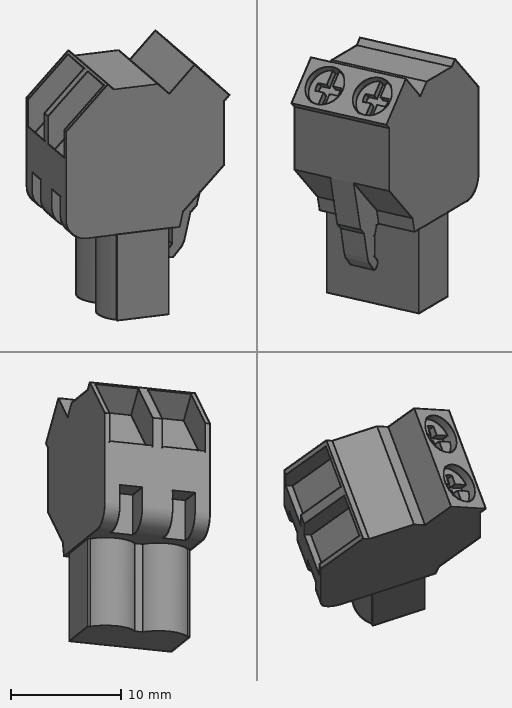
import cadquery as cq
import math


pole_pitch = 5.08
pole_count = 2
housing_width = pole_count * pole_pitch
pole_centres = [(i - (pole_count - 1) / 2) * pole_pitch for i in range(pole_count)]
total_depth = 15.88
total_height = 23.77
SIN45 = math.sqrt(0.5)

housing_bottom = 8.33
front_corner_radius = 2.0
front_slope_bottom = 18.81
front_slope_run = 4.07
front_lip_drop = 0.57
roof_back = 8.95
valley_drop = 1.07
screw_crest_rise = 2.5
rear_lip = 0.53
rear_slope_top = 13.75
rear_slope_run = 3.98
rear_foot_back = 11.03

entry_crest_y = front_slope_run
entry_crest_z = front_slope_bottom + front_slope_run
roof_z = entry_crest_z - front_lip_drop
valley_y = roof_back + valley_drop
valley_z = roof_z - valley_drop
screw_crest_y = valley_y + screw_crest_rise
screw_face_run = total_depth - screw_crest_y
screw_face_end_z = total_height - screw_face_run
rear_wall_y = total_depth - rear_lip
rear_foot_y = rear_wall_y - rear_slope_run
rear_foot_z = rear_slope_top - rear_slope_run

entry_width = 4.16
entry_top_offset = 0.21
entry_front_z = 16.18
entry_depth = 2.78

notch_width = 2.17
notch_top = 12.13
notch_depth = 2.6

plug_width = 9.85
plug_back = 10.05
plug_front = 5.03
rib_width = 4.33
rib_height = 1.0

latch_width = 2.5
latch_shoulder = (14.15, 8.8)
latch_neck = (13.54, 8.2)
latch_rear_bend = (12.95, 5.59)
latch_heel = (12.71, 5.07)
latch_toe = (11.85, 4.09)
latch_hook_middle = (11.42, 4.2)
latch_hook_tip = (11.26, 4.83)
latch_inner_y = 11.75
latch_catch_z = 5.39
latch_root_z = 7.36
latch_root_y = 11.38

screw_radius = 1.92
screw_recess = 0.8
screw_length = 3.0
slot_width = 0.66
slot_depth = 0.7
cross_slot_width = 0.8
cross_slot_radius = 1.27

screw_centre_y = (screw_crest_y + total_depth) / 2
screw_centre_z = (total_height + screw_face_end_z) / 2


def side_profile(width):
    """Sketch plane whose local axes are Y and Z, at the -X side of a slab centred on X."""
    return cq.Workplane("YZ", origin=(-width / 2, 0, 0))


def make_shell():
    return (
        side_profile(housing_width)
        .moveTo(front_corner_radius, housing_bottom)
        .radiusArc((0, housing_bottom + front_corner_radius), front_corner_radius)
        .lineTo(0, front_slope_bottom)
        .lineTo(entry_crest_y, entry_crest_z)
        .lineTo(entry_crest_y + front_lip_drop, roof_z)
        .lineTo(roof_back, roof_z)
        .lineTo(valley_y, valley_z)
        .lineTo(screw_crest_y, total_height)
        .lineTo(total_depth, screw_face_end_z)
        .lineTo(rear_wall_y, screw_face_end_z - rear_lip)
        .lineTo(rear_wall_y, rear_slope_top)
        .lineTo(rear_foot_y, rear_foot_z)
        .lineTo(rear_foot_back, housing_bottom)
        .close()
        .extrude(housing_width)
    )


def make_plug():
    body = cq.Workplane("XY").rect(plug_width, plug_back - plug_front).extrude(housing_bottom)
    body = body.translate((0, (plug_back + plug_front) / 2, 0))
    for x in pole_centres:
        rib = (
            cq.Workplane("XY")
            .moveTo(x - rib_width / 2, plug_front)
            .threePointArc((x, plug_front - rib_height), (x + rib_width / 2, plug_front))
            .close()
            .extrude(housing_bottom)
        )
        body = body.union(rib)
    return body


def make_latch():
    return (
        side_profile(latch_width)
        .moveTo(rear_wall_y, rear_slope_top)
        .lineTo(*latch_shoulder)
        .lineTo(*latch_neck)
        .lineTo(*latch_rear_bend)
        .lineTo(*latch_heel)
        .lineTo(*latch_toe)
        .threePointArc(latch_hook_middle, latch_hook_tip)
        .lineTo(latch_inner_y, latch_catch_z)
        .lineTo(latch_inner_y, latch_root_z)
        .lineTo(latch_root_y, housing_bottom)
        .lineTo(rear_foot_back, housing_bottom)
        .lineTo(rear_foot_y, rear_foot_z)
        .close()
        .extrude(latch_width)
    )


def make_wire_entry(x):
    """Box reaching from above the entry slope down to the pocket floor."""
    top_y = entry_crest_y - entry_top_offset
    top_z = entry_crest_z - entry_top_offset
    length = (top_y + top_z - entry_front_z) * SIN45
    slope = cq.Plane(origin=(x, top_y, top_z), xDir=(1, 0, 0), normal=(0, -1, 1))
    return (
        cq.Workplane(slope)
        .center(0, -length / 2)
        .rect(entry_width, length)
        .extrude(entry_depth, both=True)
    )


def make_notch(x):
    height = notch_top - housing_bottom
    return (
        cq.Workplane("XY", origin=(x, notch_depth / 2, housing_bottom))
        .rect(notch_width, notch_depth)
        .extrude(height)
    )


def screw_plane(x, depth):
    """Plane parallel to the screw face at a given depth below it, on the screw axis."""
    shift = depth * SIN45
    origin = (x, screw_centre_y - shift, screw_centre_z - shift)
    return cq.Workplane(cq.Plane(origin=origin, xDir=(1, 0, 0), normal=(0, 1, 1)))


def make_screw_hole(x):
    return screw_plane(x, 0).circle(screw_radius).extrude(-screw_length)


def make_housing():
    body = make_shell().union(make_plug()).union(make_latch())
    for x in pole_centres:
        body = body.cut(make_wire_entry(x))
        body = body.cut(make_screw_hole(x))
        body = body.cut(make_notch(x))
    return body


def make_screw(x):
    head = screw_plane(x, screw_recess)
    slot = head.rect(slot_width, 2 * screw_radius).extrude(-slot_depth)
    cross_slot = head.rect(2 * cross_slot_radius, cross_slot_width).extrude(-slot_depth)
    cross_slot = cross_slot.intersect(head.circle(cross_slot_radius).extrude(-slot_depth))
    body = head.circle(screw_radius).extrude(screw_recess - screw_length)
    return body.cut(slot).cut(cross_slot)


housing = make_housing()
screws = [make_screw(x) for x in pole_centres]

result = cq.Compound.makeCompound([housing.val(), *[screw.val() for screw in screws]])